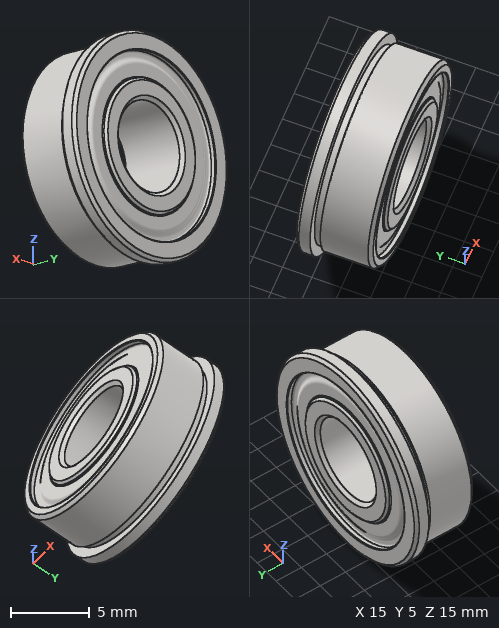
import cadquery as cq
import math

width = 5.0
half_width = width / 2

flange_radius = 15 / 2
flange_thickness = 0.99
flange_chamfer = 0.22
body_radius = 14.0 / 2
body_chamfer = 0.25
relief_radius = 13.48 / 2
relief_width = 0.5
ring_bore_radius = 12.4 / 2
ring_bore_chamfer = 0.052
seat_radius = 12.66 / 2

shaft_radius = 6 / 2
shaft_chamfer = 0.25
inner_ring_radius = 8.85 / 2
inner_ring_chamfer = 0.18

floor_depth = 0.5
floor_fillet = 0.14
rim_depth = floor_depth - floor_fillet
floor_inner_radius = 5.85
plateau_depth = 0.25
plateau_radius = 5.35
gap_radius = 9 / 2
gap_depth = 0.5
bend_angle = math.radians(38)


def revolve(profile):
    """Turn a closed half profile around the Y axis."""
    return profile.close().revolve(360, (0, 0, 0), (0, 1, 0))


def make_outer_ring():
    flange_front = half_width - flange_thickness
    seat_end = half_width - rim_depth
    return revolve(
        cq.Workplane("XY")
        .moveTo(ring_bore_radius, -half_width + ring_bore_chamfer)
        .lineTo(ring_bore_radius + ring_bore_chamfer, -half_width)
        .lineTo(body_radius - body_chamfer, -half_width)
        .lineTo(body_radius, -half_width + body_chamfer)
        .lineTo(body_radius, flange_front - relief_width)
        .lineTo(relief_radius, flange_front - relief_width)
        .lineTo(relief_radius, flange_front)
        .lineTo(flange_radius, flange_front)
        .lineTo(flange_radius, half_width - flange_chamfer)
        .lineTo(flange_radius - flange_chamfer, half_width)
        .lineTo(ring_bore_radius + ring_bore_chamfer, half_width)
        .lineTo(ring_bore_radius, half_width - ring_bore_chamfer)
        .lineTo(ring_bore_radius, seat_end)
        .lineTo(seat_radius, seat_end)
        .lineTo(seat_radius, -seat_end)
        .lineTo(ring_bore_radius, -seat_end)
    )


def make_inner_ring():
    return revolve(
        cq.Workplane("XY")
        .moveTo(shaft_radius + shaft_chamfer, -half_width)
        .lineTo(inner_ring_radius - inner_ring_chamfer, -half_width)
        .lineTo(inner_ring_radius, -half_width + inner_ring_chamfer)
        .lineTo(inner_ring_radius, half_width - inner_ring_chamfer)
        .lineTo(inner_ring_radius - inner_ring_chamfer, half_width)
        .lineTo(shaft_radius + shaft_chamfer, half_width)
        .lineTo(shaft_radius, half_width - shaft_chamfer)
        .lineTo(shaft_radius, -half_width + shaft_chamfer)
    )


def make_shield_half(end):
    """Half of the shield, from mid-width to the end face at end = -1 or +1."""
    def at_depth(radius, depth):
        return (radius, end * (half_width - depth))

    step_run = floor_inner_radius - plateau_radius
    step_drop = floor_depth - plateau_depth
    bend_radius = (step_run - step_drop / math.tan(bend_angle)) / (2 * math.tan(bend_angle / 2))

    def bend_offset(angle):
        return bend_radius * math.sin(angle), bend_radius * (1 - math.cos(angle))

    mid_run, mid_drop = bend_offset(bend_angle / 2)
    end_run, end_drop = bend_offset(bend_angle)
    fillet_offset = floor_fillet * (1 - math.sqrt(0.5))
    return revolve(
        cq.Workplane("XY")
        .moveTo(inner_ring_radius, 0)
        .lineTo(*at_depth(inner_ring_radius, gap_depth))
        .lineTo(*at_depth(gap_radius, gap_depth))
        .lineTo(*at_depth(gap_radius, plateau_depth))
        .lineTo(*at_depth(plateau_radius, plateau_depth))
        .threePointArc(
            at_depth(plateau_radius + mid_run, plateau_depth + mid_drop),
            at_depth(plateau_radius + end_run, plateau_depth + end_drop),
        )
        .lineTo(*at_depth(floor_inner_radius - end_run, floor_depth - end_drop))
        .threePointArc(
            at_depth(floor_inner_radius - mid_run, floor_depth - mid_drop),
            at_depth(floor_inner_radius, floor_depth),
        )
        .lineTo(*at_depth(ring_bore_radius - floor_fillet, floor_depth))
        .threePointArc(
            at_depth(ring_bore_radius - fillet_offset, floor_depth - fillet_offset),
            at_depth(ring_bore_radius, rim_depth),
        )
        .lineTo(*at_depth(seat_radius, rim_depth))
        .lineTo(seat_radius, 0)
    )


outer_ring = make_outer_ring()
inner_ring = make_inner_ring()
shield = make_shield_half(-1).union(make_shield_half(1), clean=True)

result = cq.Compound.makeCompound([outer_ring.val(), inner_ring.val(), shield.val()])